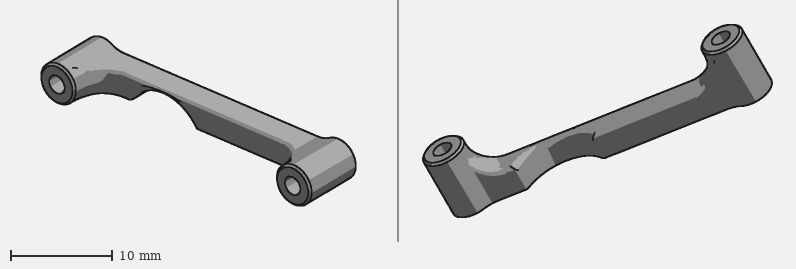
import cadquery as cq
import math

length = 34.98
depth = 7.0
barrel_diameter = 4.5
hole_diameter = 2.0
rim_chamfer = 0.25

bar_height = 3.0
bar_depth = 3.0
blend_radius = 3.0
edge_radius = 0.5

arch_x = -5.1
arch_top_z = 0.77
arch_radius = 4.9
arch_edge_radius = 0.8

clearance = 1.05

barrel_radius = barrel_diameter / 2
barrel_x = length / 2 - barrel_radius
half_height = bar_height / 2

flare_radius = barrel_radius + blend_radius
flare_start_x = barrel_x - flare_radius
blend_center_z = half_height + blend_radius
blend_angle = math.asin(blend_center_z / flare_radius)
blend_center_x = barrel_x - flare_radius * math.cos(blend_angle)
tangent_x = barrel_x - barrel_radius * math.cos(blend_angle)
tangent_z = barrel_radius * math.sin(blend_angle)
middle_angle = -(blend_angle + math.pi / 2) / 2
middle_x = blend_center_x + blend_radius * math.cos(middle_angle)
middle_z = blend_center_z + blend_radius * math.sin(middle_angle)


def web_blank():
    """Full-depth web whose ends swell tangentially into the barrels."""
    return (
        cq.Workplane("XZ")
        .moveTo(-blend_center_x, half_height)
        .lineTo(blend_center_x, half_height)
        .threePointArc((middle_x, middle_z), (tangent_x, tangent_z))
        .lineTo(tangent_x, -tangent_z)
        .threePointArc((middle_x, -middle_z), (blend_center_x, -half_height))
        .lineTo(-blend_center_x, -half_height)
        .threePointArc((-middle_x, -middle_z), (-tangent_x, -tangent_z))
        .lineTo(-tangent_x, tangent_z)
        .threePointArc((-middle_x, middle_z), (-blend_center_x, half_height))
        .close()
        .extrude(depth - rim_chamfer)
    )


def flare_cutter(x):
    """Ring around a barrel that leaves a concave flare on the front of the web."""
    flare_middle = blend_radius * (1 - math.sqrt(0.5))
    return (
        cq.Workplane("XY")
        .moveTo(flare_radius + clearance, -bar_depth)
        .lineTo(flare_radius, -bar_depth)
        .threePointArc(
            (barrel_radius + flare_middle, -bar_depth - flare_middle),
            (barrel_radius, -bar_depth - blend_radius),
        )
        .lineTo(barrel_radius, -depth - clearance)
        .lineTo(flare_radius + clearance, -depth - clearance)
        .close()
        .revolve(360, (0, 0, 0), (0, 1, 0))
        .translate((x, 0, 0))
    )


def arch_cutter():
    """Round cutter for the arch, widening at the front to leave a rounded edge."""
    edge_middle = arch_edge_radius * (1 - math.sqrt(0.5))
    wide_radius = arch_radius + arch_edge_radius
    return (
        cq.Workplane("XY")
        .moveTo(0, clearance)
        .lineTo(arch_radius, clearance)
        .lineTo(arch_radius, arch_edge_radius - bar_depth)
        .threePointArc((arch_radius + edge_middle, edge_middle - bar_depth), (wide_radius, -bar_depth))
        .lineTo(0, -bar_depth)
        .close()
        .revolve(360, (0, 0, 0), (0, 1, 0))
        .translate((arch_x, 0, arch_top_z - arch_radius))
    )


def foot_cutter():
    """Prism below the arch that rounds the corners where it meets the bar's underside."""
    arch_center_z = arch_top_z - arch_radius
    foot_center_z = edge_radius - half_height
    center_reach = arch_radius + edge_radius
    foot_angle = math.asin((foot_center_z - arch_center_z) / center_reach)
    foot_run = center_reach * math.cos(foot_angle)
    throat_run = arch_radius * math.cos(foot_angle)
    throat_z = arch_center_z + arch_radius * math.sin(foot_angle)
    foot_middle_angle = (foot_angle + math.pi / 2) / 2
    foot_middle_run = foot_run - edge_radius * math.cos(foot_middle_angle)
    foot_middle_z = foot_center_z - edge_radius * math.sin(foot_middle_angle)
    return (
        cq.Workplane("XZ", origin=(arch_x, 0, 0))
        .moveTo(-foot_run, -half_height)
        .threePointArc((-foot_middle_run, foot_middle_z), (-throat_run, throat_z))
        .lineTo(throat_run, throat_z)
        .threePointArc((foot_middle_run, foot_middle_z), (foot_run, -half_height))
        .lineTo(foot_run, -half_height - clearance)
        .lineTo(-foot_run, -half_height - clearance)
        .close()
        .extrude(bar_depth)
    )


def rounded_web():
    """Web cut back to the bar depth and rounded along its front edges."""
    front_space = (
        cq.Workplane("XZ", origin=(0, -bar_depth, 0))
        .rect(2 * flare_start_x, barrel_diameter)
        .extrude(depth)
    )
    web = web_blank().cut(front_space)
    for x in (-barrel_x, barrel_x):
        web = web.cut(flare_cutter(x))
    for z in (-half_height, half_height):
        edge = cq.selectors.NearestToPointSelector((0, -bar_depth, z))
        web = web.edges(edge).fillet(edge_radius)
    return web


result = rounded_web().cut(arch_cutter()).cut(foot_cutter())
for x in (-barrel_x, barrel_x):
    barrel = cq.Workplane("XZ").center(x, 0).circle(barrel_radius).extrude(depth)
    result = result.union(barrel.faces("<Y").chamfer(rim_chamfer))
holes = cq.Workplane("XZ").pushPoints([(-barrel_x, 0), (barrel_x, 0)]).circle(hole_diameter / 2).extrude(depth)
result = result.cut(holes)